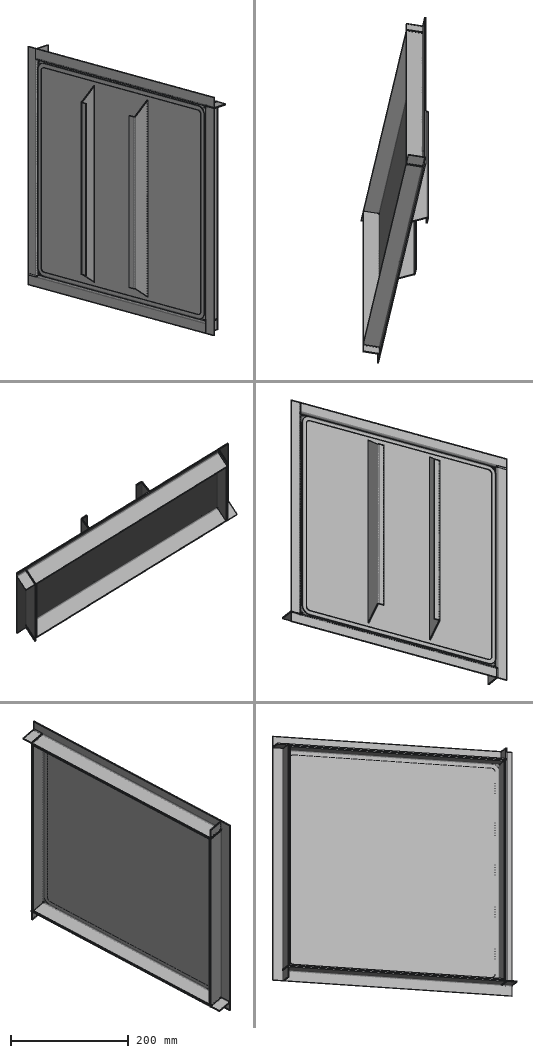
import cadquery as cq

sheet = 2.0
bend_radius = 2.5
inner_radius = bend_radius - sheet

frame_size = 423.8
half_frame = frame_size / 2
flange_width = 20.0
frame_depth = 30.0
flat_width = flange_width - bend_radius

cover_size = 380.0
cover_thickness = 1.0
cover_corner_radius = 15.0
seal_width = 8.0

tray_gap = 0.8
tray_size = frame_size - 2 * (flange_width + tray_gap)
tray_depth = frame_depth - cover_thickness

handle_spacing = 123.0
handle_reach = 34.0
handle_flange = 12.0
foot_length = 350.0
grip_length = 306.0


def angle_profile(width, depth):
    """L section: a front leg along X from x = 0, bent back into a leg along Y that ends at x = width."""
    return (
        cq.Workplane("XY")
        .lineTo(width - bend_radius, 0)
        .radiusArc((width, bend_radius), -bend_radius)
        .lineTo(width, depth)
        .lineTo(width - sheet, depth)
        .lineTo(width - sheet, bend_radius)
        .radiusArc((width - bend_radius, sheet), inner_radius)
        .lineTo(0, sheet)
        .close()
    )


def turned(body, degrees):
    return body.rotate((0, 0, 0), (0, 1, 0), degrees)


def make_slotted_angle():
    """Left frame angle, with a slot near its top end through which the web of the top angle passes."""
    angle = (
        angle_profile(flange_width, frame_depth)
        .extrude(frame_size - flat_width)
        .translate((-half_frame, 0, flat_width - half_frame))
    )
    slot = (
        cq.Workplane("XY")
        .box(sheet, frame_depth - bend_radius, sheet, centered=False)
        .translate((flange_width - sheet - half_frame, bend_radius, half_frame - flange_width))
    )
    return angle.cut(slot)


def make_frame_angle():
    """Left frame angle, cleared where its lower end meets the bend of the bottom angle."""
    left_angle = make_slotted_angle()
    bottom_angle = turned(left_angle, -90)
    return left_angle.cut(bottom_angle)


def round_front_box(size, depth, radius):
    """Square box from y = 0 backward, with its front edges rounded."""
    box = cq.Workplane("XZ").rect(size, size).extrude(-depth)
    return box.faces("<Y").edges().fillet(radius)


def make_tray():
    """Open-backed door tray with bent front edges and a square relief in each front corner."""
    outside = round_front_box(tray_size, tray_depth, bend_radius)
    inside = round_front_box(tray_size - 2 * sheet, tray_depth - sheet, inner_radius)
    relief_spacing = tray_size - bend_radius
    reliefs = (
        cq.Workplane("XZ")
        .rect(relief_spacing, relief_spacing, forConstruction=True)
        .vertices()
        .rect(bend_radius, bend_radius)
        .extrude(-bend_radius)
    )
    tray = outside.cut(inside.translate((0, sheet, 0))).cut(reliefs)
    return tray.translate((0, cover_thickness, 0))


def rounded_cover(size, corner_radius):
    """Square sheet with rounded corners, its front on y = 0."""
    cover = cq.Workplane("XZ").rect(size, size).extrude(-cover_thickness)
    return cover.edges("|Y").fillet(corner_radius)


def make_panel():
    return rounded_cover(cover_size - 2 * seal_width, cover_corner_radius - seal_width)


def make_seal():
    """Ring around the panel, flush with it."""
    return rounded_cover(cover_size, cover_corner_radius).cut(make_panel())


def make_left_handle():
    """Angle standing on the panel, with its grip flange turned inward and its ends sloping to the foot."""
    bar = (
        angle_profile(handle_flange, handle_reach)
        .extrude(foot_length / 2, both=True)
        .mirror("YZ")
        .translate((handle_flange - handle_spacing / 2, -handle_reach, 0))
    )
    bend_end = bend_radius - handle_reach
    side_outline = (
        cq.Workplane("YZ")
        .moveTo(0, -foot_length / 2)
        .lineTo(0, foot_length / 2)
        .lineTo(bend_end, grip_length / 2)
        .lineTo(-handle_reach, grip_length / 2)
        .lineTo(-handle_reach, -grip_length / 2)
        .lineTo(bend_end, -grip_length / 2)
        .close()
        .extrude(handle_spacing, both=True)
    )
    return bar.intersect(side_outline)


frame_angle = make_frame_angle()
frame_angles = [turned(frame_angle, 90 * quarter) for quarter in range(4)]
tray = make_tray()
seal = make_seal()
panel = make_panel()
left_handle = make_left_handle()
handles = [left_handle, left_handle.mirror("YZ")]

bodies = [*frame_angles, tray, seal, panel, *handles]
result = cq.Compound.makeCompound([body.val() for body in bodies])